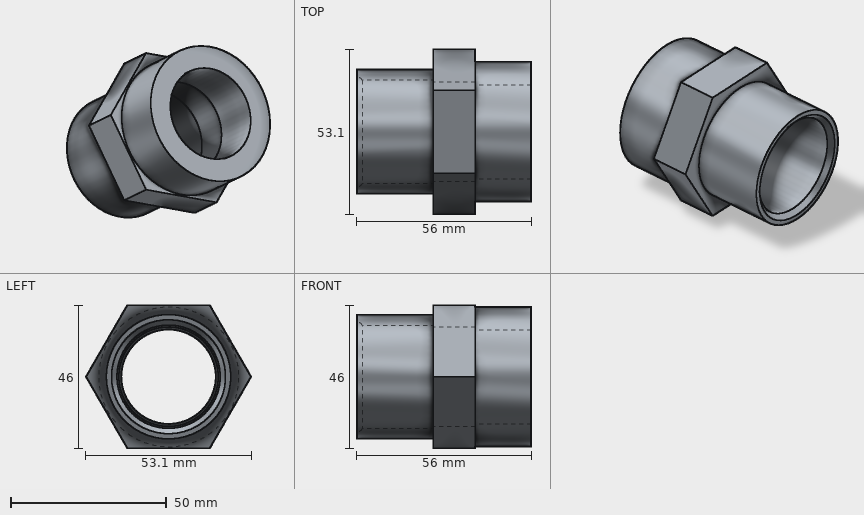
import cadquery as cq
import math

spigot_length = 24.5
collar_length = 13.5
sleeve_length = 18.0
collar_start = spigot_length
collar_end = collar_start + collar_length
total_length = collar_end + sleeve_length

spigot_diameter = 40.0
across_flats = 46.0
across_corners = across_flats / math.cos(math.radians(30))
sleeve_diameter = 45.0

socket_diameter = 33.25
middle_bore_diameter = 32.0
through_bore_diameter = 30.29
socket_depth = collar_start
middle_bore_depth = collar_end
mouth_chamfer = 1.7


def cylinder_along_x(diameter, start, end):
    """Solid cylinder on the X axis between two X positions."""
    return cq.Workplane("YZ", origin=(start, 0, 0)).circle(diameter / 2).extrude(end - start)


def hexagon_collar():
    """Hexagon with corners on the Y axis and flats facing up and down."""
    return (
        cq.Workplane("YZ", origin=(collar_start, 0, 0))
        .polygon(6, across_corners)
        .extrude(collar_length)
    )


def mouth_cone():
    """Conical 45 degree lead-in at the open end of the spigot."""
    socket_radius = socket_diameter / 2
    return (
        cq.Workplane("XY")
        .moveTo(0, 0)
        .lineTo(0, socket_radius + mouth_chamfer)
        .lineTo(mouth_chamfer, socket_radius)
        .lineTo(mouth_chamfer, 0)
        .close()
        .revolve(360, (0, 0, 0), (1, 0, 0))
    )


def outer_body():
    spigot = cylinder_along_x(spigot_diameter, 0, collar_start)
    sleeve = cylinder_along_x(sleeve_diameter, collar_end, total_length)
    return spigot.union(hexagon_collar()).union(sleeve)


def cut_bore(body):
    """Cut the bore steps, each starting at the spigot end, and the lead-in."""
    bore_steps = (
        (socket_diameter, socket_depth),
        (middle_bore_diameter, middle_bore_depth),
        (through_bore_diameter, total_length),
    )
    for diameter, depth in bore_steps:
        body = body.cut(cylinder_along_x(diameter, 0, depth))
    return body.cut(mouth_cone())


result = cut_bore(outer_body())